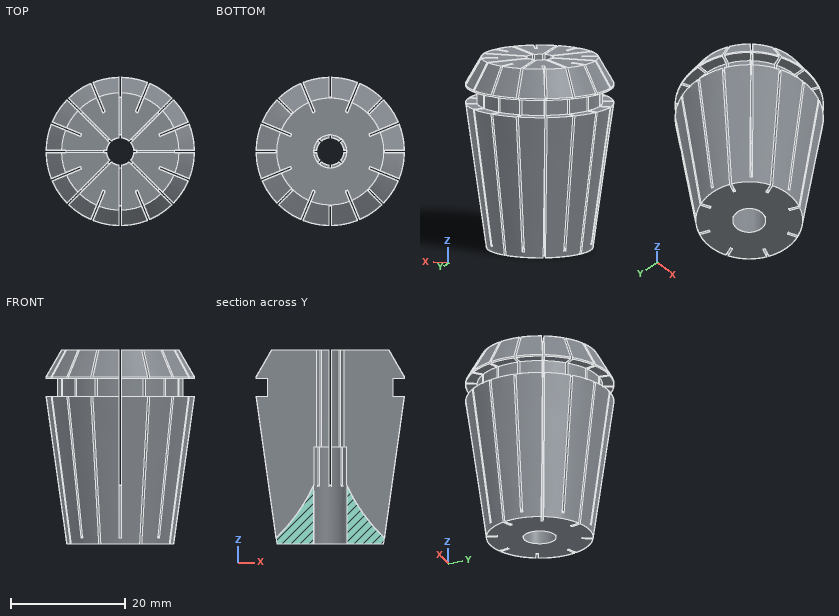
import cadquery as cq
import math

length = 34.0
rim_diameter = 26.0
rim_radius = rim_diameter / 2

taper_height = 25.87
taper_angle = 8.0
taper_slope = math.tan(math.radians(taper_angle))
base_radius = rim_radius - taper_height * taper_slope

groove_radius = 11.0
groove_top = 28.97
rim_height = 0.3
nose_bottom = groove_top + rim_height
nose_angle = 30.0
nose_radius = rim_radius - (length - nose_bottom) * math.tan(math.radians(nose_angle))

bore_radius = 2.38
relief_radius = 2.9
relief_depth = length / 2

slot_count = 8
slot_pitch = 360.0 / slot_count
slot_width = 0.4
long_slot_outer_z = 1.05
long_slot_inner_z = 10.35
saw_radius = 29.92
short_slot_inner_radius = 7.45
slot_overrun = 0.35
slot_reach = rim_radius + slot_overrun


def make_body():
    """Revolved outer shape with the bore and its relief."""
    profile = [
        (0, 0),
        (base_radius, 0),
        (rim_radius, taper_height),
        (groove_radius, taper_height),
        (groove_radius, groove_top),
        (rim_radius, groove_top),
        (rim_radius, nose_bottom),
        (nose_radius, length),
        (0, length),
    ]
    body = cq.Workplane("XZ").polyline(profile).close().revolve(360, (0, 0), (0, 1))
    bore = cq.Workplane("XY").circle(bore_radius).extrude(length)
    relief = cq.Workplane("XY").circle(relief_radius).extrude(relief_depth)
    return body.cut(bore).cut(relief)


def make_long_slot():
    """Slot open to the nose and the bore, with a saw-cut floor that stops short of the base."""
    outer_radius = base_radius + long_slot_outer_z * taper_slope
    return (
        cq.Workplane("XZ")
        .moveTo(0, length)
        .lineTo(0, long_slot_inner_z)
        .lineTo(relief_radius, long_slot_inner_z)
        .radiusArc((outer_radius, long_slot_outer_z), -saw_radius)
        .lineTo(slot_reach, long_slot_outer_z)
        .lineTo(slot_reach, length)
        .close()
        .extrude(slot_width / 2, both=True)
    )


def make_short_slot():
    """Slot open at both ends that stops short of the bore."""
    half_width = slot_width / 2
    return (
        cq.Workplane("XY")
        .moveTo(short_slot_inner_radius, -half_width)
        .lineTo(slot_reach, -half_width)
        .lineTo(slot_reach, half_width)
        .lineTo(short_slot_inner_radius, half_width)
        .close()
        .extrude(length)
    )


def turned(shape, angle):
    """Copy of a shape rotated about the collet axis."""
    return shape.rotate((0, 0, 0), (0, 0, 1), angle)


result = make_body()
long_slot = make_long_slot()
short_slot = make_short_slot()
for index in range(slot_count):
    angle = index * slot_pitch
    result = result.cut(turned(long_slot, angle))
    result = result.cut(turned(short_slot, angle + slot_pitch / 2))